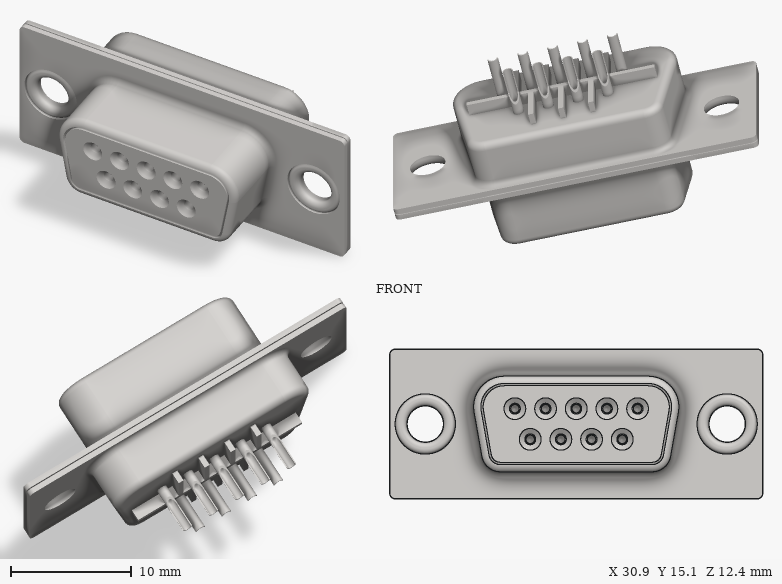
import cadquery as cq
import math


flange_width = 30.9
flange_height = 12.4
flange_thickness = 1.0
flange_corner_radius = 0.45
seam_width = 0.1
seam_depth = 0.3
flange_face = flange_thickness / 2

eyelet_spacing = 25.0
eyelet_bore = 3.0
eyelet_diameter = 5.0
eyelet_rim_radius = 0.4
eyelet_mouth_radius = 0.48

shell_side_angle = math.radians(10)
shell_upper_radius = 2.54
shell_lower_radius = 1.55
front_shell_width = 17.0
front_shell_height = 7.92
front_shell_end = -6.55
rear_shell_width = 19.06
rear_shell_height = 10.9
rear_shell_end = 4.5
shell_edge_radius = 0.6
shell_root_radius = 0.47
select_margin = 0.01

insulator_gap = 0.19
insulator_gap_depth = 0.3
insulator_end = 5.5
rib_thickness = 0.47
web_width = 16.0
rib_height = 7.54

contact_pitch = 2.54
row_offset = contact_pitch / 2
upper_contacts = 5
lower_contacts = 4

funnel_diameter = 1.8
entry_diameter = 0.9
funnel_depth = (funnel_diameter - entry_diameter) / 2
socket_diameter = 0.7
socket_recess = 1.2
socket_depth = 3.0
socket_tip_angle = math.radians(118)

cup_diameter = 0.9
cup_bore = 0.7
cup_end = 8.53
cup_slope_length = 0.97


def row_positions(count):
    """X positions of a row of evenly pitched features centred on X = 0."""
    return [(index - (count - 1) / 2) * contact_pitch for index in range(count)]


def plane_at(y):
    """Sketch plane across the mating axis: local x is X, local y is Z, normal is -Y."""
    return cq.Workplane("XZ", origin=(0, y, 0))


def box_between(width, height, y_start, y_end):
    """Box centred on the mating axis, from y_start to y_end."""
    return plane_at(y_end).rect(width, height).extrude(y_end - y_start)


def d_prism(width, height, y_start, y_end, inset=0):
    """D-shaped prism; inset shrinks the whole outline evenly."""
    upper_radius = shell_upper_radius - inset
    lower_radius = shell_lower_radius - inset
    top = height / 2 - inset
    arc_center = width / 2 - shell_upper_radius
    top_corner = arc_center + upper_radius * (1 + math.sin(shell_side_angle)) / math.cos(shell_side_angle)
    bottom_corner = top_corner - 2 * top * math.tan(shell_side_angle)
    outline = [(-top_corner, top), (top_corner, top), (bottom_corner, -top), (-bottom_corner, -top)]
    prism = plane_at(y_end).polyline(outline).close().extrude(y_end - y_start)
    prism = prism.edges("|Y and >Z").fillet(upper_radius)
    return prism.edges("|Y and <Z").fillet(lower_radius)


def make_flange():
    """Flange plate pair, with the seam as a shallow groove around the rim."""
    flange = box_between(flange_width, flange_height, -flange_face, flange_face)
    flange = flange.edges("|Y").fillet(flange_corner_radius)
    seam_start = -seam_width / 2
    seam_end = seam_width / 2
    core_width = flange_width - 2 * seam_depth
    core_height = flange_height - 2 * seam_depth
    core = box_between(core_width, core_height, seam_start, seam_end)
    seam = box_between(flange_width, flange_height, seam_start, seam_end).cut(core)
    return flange.cut(seam)


def root_edges(y, shell_width):
    """Selector for the edges where a shell meets the flange face at the given Y."""
    reach_x = shell_width / 2 + shell_root_radius
    reach_z = flange_height / 2 - select_margin
    low_corner = (-reach_x, y - select_margin, -reach_z)
    high_corner = (reach_x, y + select_margin, reach_z)
    return cq.selectors.BoxSelector(low_corner, high_corner, boundingbox=True)


def make_shells():
    """Flange with both shells, rolled at their free edges and filleted at their roots."""
    front = d_prism(front_shell_width, front_shell_height, front_shell_end, 0)
    front = front.faces("<Y").edges().fillet(shell_edge_radius)
    rear = d_prism(rear_shell_width, rear_shell_height, 0, rear_shell_end)
    rear = rear.faces(">Y").edges().fillet(shell_edge_radius)
    shells = make_flange().union(front).union(rear)
    shells = shells.edges(root_edges(-flange_face, front_shell_width)).fillet(shell_root_radius)
    shells = shells.edges(root_edges(flange_face, rear_shell_width)).fillet(shell_root_radius)
    return shells


def eyelet_cut():
    """Bore with a rounded mouth, and the crevice around the rounded rim, for an eyelet on the Y axis."""
    bore_radius = eyelet_bore / 2
    outer_radius = eyelet_diameter / 2
    diagonal = math.sqrt(0.5)
    mouth_end = -flange_face + eyelet_mouth_radius
    mouth_center = bore_radius + eyelet_mouth_radius
    mouth_inset = eyelet_mouth_radius * diagonal
    bore = (
        cq.Workplane("XY")
        .moveTo(0, -flange_face)
        .lineTo(mouth_center, -flange_face)
        .threePointArc((mouth_center - mouth_inset, mouth_end - mouth_inset), (bore_radius, mouth_end))
        .lineTo(bore_radius, flange_face)
        .lineTo(0, flange_face)
        .close()
        .revolve(360, (0, 0), (0, 1))
    )
    rim_end = -flange_face + eyelet_rim_radius
    rim_center = outer_radius - eyelet_rim_radius
    rim_inset = eyelet_rim_radius * diagonal
    crevice = (
        cq.Workplane("XY")
        .moveTo(rim_center, -flange_face)
        .threePointArc((rim_center + rim_inset, rim_end - rim_inset), (outer_radius, rim_end))
        .lineTo(outer_radius, -flange_face)
        .close()
        .revolve(360, (0, 0), (0, 1))
    )
    return bore.union(crevice)


def insulator_gap_cut():
    """Narrow D-shaped groove between the rolled edge of the front shell and the insulator face."""
    groove_end = front_shell_end + insulator_gap_depth
    outer_inset = shell_edge_radius
    inner_inset = outer_inset + insulator_gap
    inside_shell = d_prism(front_shell_width, front_shell_height, front_shell_end, groove_end, outer_inset)
    insulator = d_prism(front_shell_width, front_shell_height, front_shell_end, groove_end, inner_inset)
    return inside_shell.cut(insulator)


def contact_opening():
    """Funnel and straight entry, then a narrower blind socket with a drill-point end, on the Y axis."""
    funnel_end = front_shell_end + funnel_depth
    socket_start = front_shell_end + socket_recess
    socket_end = front_shell_end + socket_depth
    entry_radius = entry_diameter / 2
    socket_radius = socket_diameter / 2
    tip = socket_end + socket_radius / math.tan(socket_tip_angle / 2)
    outline = [
        (0, front_shell_end),
        (funnel_diameter / 2, front_shell_end),
        (entry_radius, funnel_end),
        (entry_radius, socket_start),
        (socket_radius, socket_start),
        (socket_radius, socket_end),
        (0, tip),
    ]
    return cq.Workplane("XY").polyline(outline).close().revolve(360, (0, 0), (0, 1))


def solder_cup():
    """Half-open solder cup on the Y axis, open towards +Z."""
    radius = cup_diameter / 2
    cup = plane_at(cup_end).circle(radius).extrude(cup_end - rear_shell_end)
    bore = plane_at(cup_end).circle(cup_bore / 2).extrude(cup_end - rear_shell_end)
    opening_outline = [
        (insulator_end, radius),
        (insulator_end + cup_slope_length, 0),
        (cup_end, 0),
        (cup_end, radius),
    ]
    opening = cq.Workplane("YZ").polyline(opening_outline).close().extrude(radius, both=True)
    return cup.cut(bore).cut(opening)


def make_rear_block():
    """Web between the two rows, with a rib between each pair of neighbouring contacts."""
    block = box_between(web_width, rib_thickness, rear_shell_end, insulator_end)
    rib = box_between(rib_thickness, rib_height / 2, rear_shell_end, insulator_end)
    for x in row_positions(upper_contacts - 1):
        block = block.union(rib.translate((x, 0, rib_height / 4)))
    for x in row_positions(lower_contacts - 1):
        block = block.union(rib.translate((x, 0, -rib_height / 4)))
    return block


result = make_shells().cut(insulator_gap_cut()).union(make_rear_block())

for side in (-1, 1):
    result = result.cut(eyelet_cut().translate((side * eyelet_spacing / 2, 0, 0)))

upper_cup = solder_cup()
lower_cup = upper_cup.rotate((0, 0, 0), (0, 1, 0), 180)
rows = (
    (upper_contacts, row_offset, upper_cup),
    (lower_contacts, -row_offset, lower_cup),
)
for count, z, cup in rows:
    for x in row_positions(count):
        result = result.cut(contact_opening().translate((x, 0, z)))
        result = result.union(cup.translate((x, 0, z)))